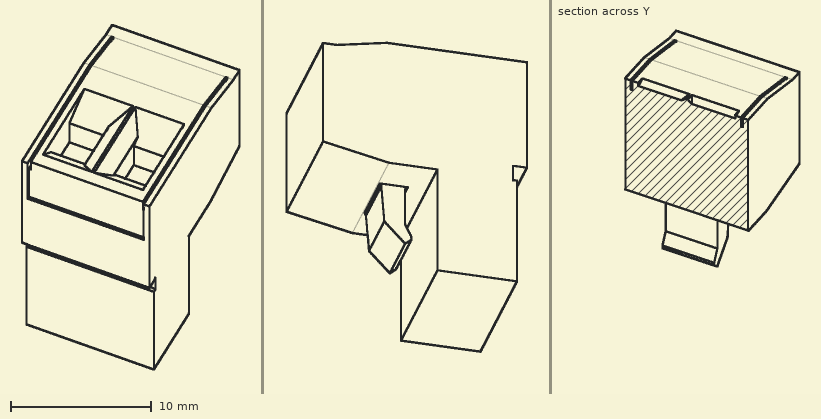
import cadquery as cq


WIDTH = 10.01
DEPTH = 14.99
HEIGHT = 18.29

REAR_STEP_LENGTH = 1.02
REAR_STEP_DROP = 0.75
ROOF_RAMP_START_Y = 10.3
REAR_FACE_BOTTOM_Z = HEIGHT - 8.92
HOUSING_BOTTOM_Z = HEIGHT - 9.93
FLOOR_RAMP_START_Y = 10.15

LEG_FRONT_Y = 0.73
LEG_BACK_Y = 6.58
SLOT_DEPTH = 1.03
SLOT_TOP_Z = HEIGHT - 8.75

HOOK_WIDTH = 4.2
HOOK_ROOT_FRONT_Y = 8.18
HOOK_ROOT_BACK_Y = 9.93
HOOK_BEND_BACK_Y = 9.71
HOOK_BEND_DROP = 3.1
HOOK_POINT_DROP = 4.71
HOOK_NOSE_Y = 7.72
HOOK_NOSE_TOP_DROP = 4.07
HOOK_NOSE_BOTTOM_DROP = 4.32
HOOK_FLARE_HEIGHT = 0.2
HOOK_FRONT_FLARE = 0.2
HOOK_BACK_FLARE = 0.1

CHEEK_THICKNESS = 0.45
PANEL_RECESS = 0.2
PANEL_HEIGHT = 3.8
GROOVE_WIDTH = 0.15
GROOVE_DEPTH = 0.81

POCKET_WIDTH = 7.83
POCKET_FRONT_Y = 1.21
POCKET_BACK_Y = 8.08
POCKET_FRONT_SLOPE = 1.34
POCKET_BACK_SLOPE = 2.5
POCKET_SLOPE_DROP = 1.12
POCKET_DEPTH = 3.17

DIVIDER_TOP_WIDTH = 0.19
DIVIDER_BASE_WIDTH = 2.28
DIVIDER_SLOPE_DROP = 0.82


def side_prism(points, width):
    """Extrude a (Y, Z) outline symmetrically about the middle plane."""
    return cq.Workplane("YZ").polyline(points).close().extrude(width / 2, both=True)


def box_between(x_range, y_range, z_range):
    """Box spanning the given (low, high) ranges."""
    low, high = zip(x_range, y_range, z_range)
    size = [end - start for start, end in zip(low, high)]
    return cq.Workplane("XY").box(*size, centered=False).translate(low)


def make_housing():
    """Housing and plug leg, as one outline across the full width."""
    outline = [
        (0, HEIGHT),
        (ROOF_RAMP_START_Y, HEIGHT),
        (DEPTH - REAR_STEP_LENGTH, HEIGHT - REAR_STEP_DROP),
        (DEPTH, HEIGHT - REAR_STEP_DROP),
        (DEPTH, REAR_FACE_BOTTOM_Z),
        (FLOOR_RAMP_START_Y, HOUSING_BOTTOM_Z),
        (LEG_BACK_Y, HOUSING_BOTTOM_Z),
        (LEG_BACK_Y, 0),
        (LEG_FRONT_Y, 0),
        (LEG_FRONT_Y, HOUSING_BOTTOM_Z),
        (SLOT_DEPTH, HOUSING_BOTTOM_Z),
        (SLOT_DEPTH, SLOT_TOP_Z),
        (0, SLOT_TOP_Z),
    ]
    return side_prism(outline, WIDTH)


def make_hook():
    """Latch hook hanging below the housing, flared where it joins."""
    top_z = HOUSING_BOTTOM_Z
    outline = [
        (HOOK_ROOT_FRONT_Y - HOOK_FRONT_FLARE, top_z),
        (HOOK_ROOT_BACK_Y + HOOK_BACK_FLARE, top_z),
        (HOOK_ROOT_BACK_Y, top_z - HOOK_FLARE_HEIGHT),
        (HOOK_BEND_BACK_Y, top_z - HOOK_BEND_DROP),
        (HOOK_ROOT_FRONT_Y, top_z - HOOK_POINT_DROP),
        (HOOK_NOSE_Y, top_z - HOOK_NOSE_BOTTOM_DROP),
        (HOOK_NOSE_Y, top_z - HOOK_NOSE_TOP_DROP),
        (HOOK_ROOT_FRONT_Y, top_z - HOOK_BEND_DROP),
        (HOOK_ROOT_FRONT_Y, top_z - HOOK_FLARE_HEIGHT),
    ]
    return side_prism(outline, HOOK_WIDTH)


def make_panel_recess():
    """Shallow recess in the front face between the cheeks."""
    half_width = WIDTH / 2 - CHEEK_THICKNESS
    return box_between((-half_width, half_width), (0, PANEL_RECESS), (HEIGHT - PANEL_HEIGHT, HEIGHT))


def make_groove(side):
    """Groove along the inside of one cheek, from the front to the rear step; side is -1 or 1."""
    outer_x = side * (WIDTH / 2 - CHEEK_THICKNESS)
    inner_x = outer_x - side * GROOVE_WIDTH
    return box_between(
        sorted((outer_x, inner_x)),
        (0, DEPTH - REAR_STEP_LENGTH),
        (HEIGHT - GROOVE_DEPTH, HEIGHT),
    )


def make_pocket():
    """Pocket with sloped front and back lead-ins, split by a roof-shaped divider."""
    slope_z = HEIGHT - POCKET_SLOPE_DROP
    floor_z = HEIGHT - POCKET_DEPTH
    well_front_y = POCKET_FRONT_Y + POCKET_FRONT_SLOPE
    well_back_y = POCKET_BACK_Y - POCKET_BACK_SLOPE
    opening = side_prism(
        [
            (POCKET_FRONT_Y, HEIGHT),
            (POCKET_BACK_Y, HEIGHT),
            (well_back_y, slope_z),
            (well_back_y, floor_z),
            (well_front_y, floor_z),
            (well_front_y, slope_z),
        ],
        POCKET_WIDTH,
    )
    shoulder_z = HEIGHT - DIVIDER_SLOPE_DROP
    divider_outline = [
        (-DIVIDER_TOP_WIDTH / 2, HEIGHT),
        (DIVIDER_TOP_WIDTH / 2, HEIGHT),
        (DIVIDER_BASE_WIDTH / 2, shoulder_z),
        (DIVIDER_BASE_WIDTH / 2, floor_z),
        (-DIVIDER_BASE_WIDTH / 2, floor_z),
        (-DIVIDER_BASE_WIDTH / 2, shoulder_z),
    ]
    divider = cq.Workplane("XZ").polyline(divider_outline).close().extrude(-DEPTH)
    return opening.cut(divider)


result = make_housing().union(make_hook())
result = result.cut(make_panel_recess())
for groove_side in (-1, 1):
    result = result.cut(make_groove(groove_side))
result = result.cut(make_pocket())